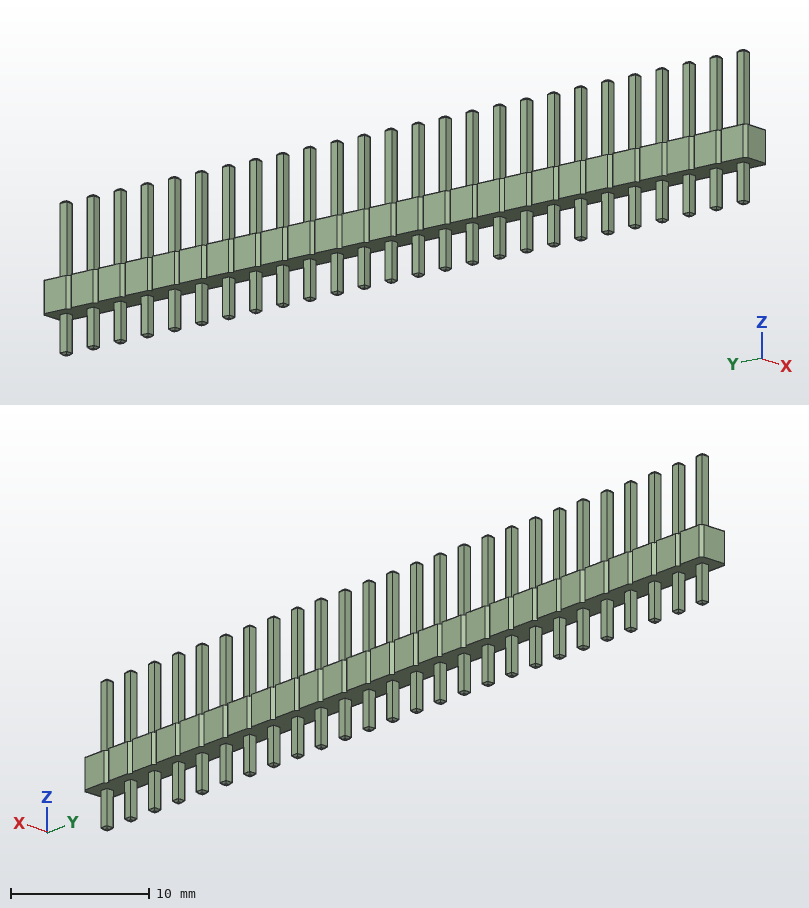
import cadquery as cq

pin_count = 26
row_length = 66.05
pitch = row_length / pin_count

cell_width = 2.5
cell_height = 2.5
corner_chamfer = 0.25

pin_side = 0.64
pin_length = 11.55
pin_below_body = 3.05
tip_chamfer = 0.16


def insulator_cell():
    """One block of the insulator, standing on Z = 0, with chamfered upright edges."""
    block = cq.Workplane("XY").box(cell_width, pitch, cell_height, centered=(True, True, False))
    return block.edges("|Z").chamfer(corner_chamfer)


def pin():
    """One square pin, chamfered around both tips and passing through the insulator."""
    bar = cq.Workplane("XY").box(pin_side, pin_side, pin_length, centered=(True, True, False))
    bar = bar.faces("<Z or >Z").edges().chamfer(tip_chamfer)
    return bar.translate((0, 0, -pin_below_body))


position = insulator_cell().union(pin())
first_y = -(row_length - pitch) / 2

result = position.translate((0, first_y, 0))
for index in range(1, pin_count):
    result = result.union(position.translate((0, first_y + index * pitch, 0)))
result = result.clean()